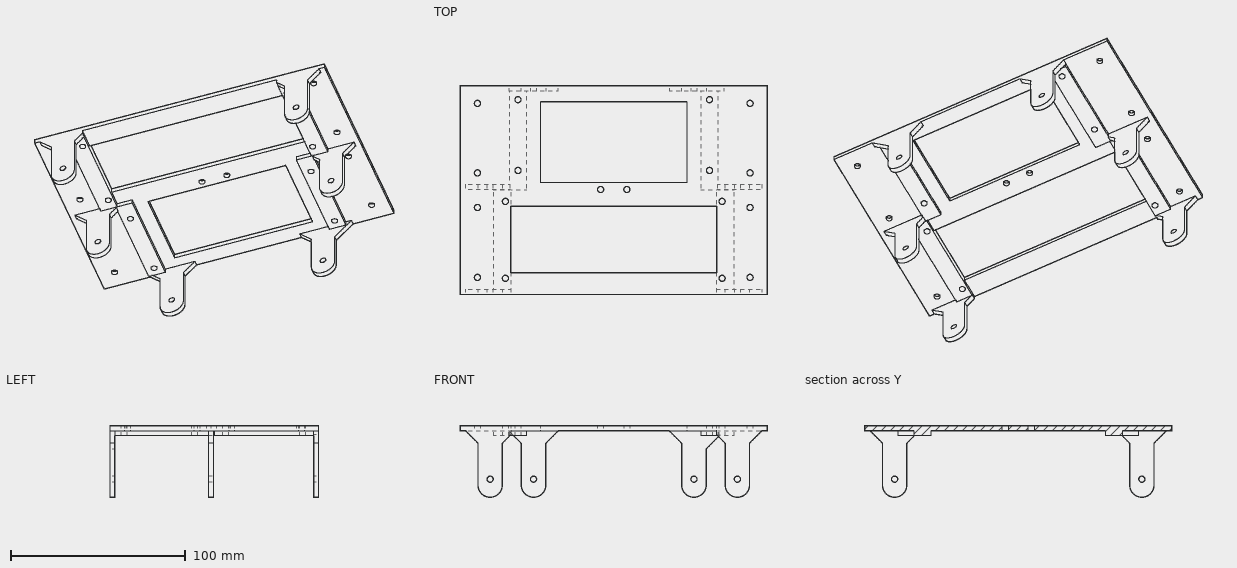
import cadquery as cq

PLATE_LENGTH = 175.8
PLATE_WIDTH = 119.6
PLATE_THICKNESS = 3
PLATE_UNDERSIDE = -PLATE_THICKNESS
FRONT_FACE = -PLATE_WIDTH / 2
REAR_FACE = PLATE_WIDTH / 2

FRONT_WINDOW_LENGTH = 117.8
FRONT_WINDOW_Y = (-47.2, -9.4)
REAR_WINDOW_LENGTH = 83.6
REAR_WINDOW_Y = (4.4, 50.4)

SCREW_HOLE_DIAMETER = 3.4
SCREW_HOLE_ROWS = [
    (78, (-50, -10, 9.8, 49.6)),
    (62, (-50.5, -6.5)),
    (54.8, (11.2, 51.7)),
    (7.5, (0.3,)),
]

LEG_THICKNESS = 3
OUTER_LEG_WIDTH = 14
INNER_LEG_WIDTH = 14.2
LEG_BOTTOM = -41
LEG_FLARE = 7
DEEP_LEG_FLARE = 10.2
LEG_HOLE_DIAMETER = 3.4
LEG_HOLE_Z = -30.6
OUTER_LEG_X = 70.75
MIDDLE_LEG_FRONT = 0.3
INNER_LEG_X = 45.9
OUTER_LEG_INNER_LIMIT = FRONT_WINDOW_LENGTH / 2

RIB_WIDTH = 10
RIB_HEIGHT = 2.7
FRONT_RIB_INNER_X = FRONT_WINDOW_LENGTH / 2
REAR_RIB_INNER_X = 49.8
RIB_STEP_Y = 0


def box(x_range, y_range, z_range):
    """Axis-aligned box between the given limits."""
    (x0, x1), (y0, y1), (z0, z1) = x_range, y_range, z_range
    return cq.Workplane("XY").box(x1 - x0, y1 - y0, z1 - z0, centered=False).translate((x0, y0, z0))


def make_plate():
    """Flat plate with its two windows."""
    plate_z = (PLATE_UNDERSIDE, 0)
    plate = box((-PLATE_LENGTH / 2, PLATE_LENGTH / 2), (FRONT_FACE, REAR_FACE), plate_z)
    for length, y_range in (
        (FRONT_WINDOW_LENGTH, FRONT_WINDOW_Y),
        (REAR_WINDOW_LENGTH, REAR_WINDOW_Y),
    ):
        plate = plate.cut(box((-length / 2, length / 2), y_range, plate_z))
    return plate


def screw_holes():
    """Cylinders for the screw holes, long enough to pass plate and ribs."""
    points = [(side * x, y) for x, y_positions in SCREW_HOLE_ROWS for y in y_positions for side in (-1, 1)]
    depth = PLATE_THICKNESS + RIB_HEIGHT
    return cq.Workplane("XY").pushPoints(points).circle(SCREW_HOLE_DIAMETER / 2).extrude(-depth)


def make_leg(x, front_y, width, left_flare=LEG_FLARE, right_flare=LEG_FLARE):
    """Leg centred on x, from front_y back by the leg thickness."""
    half_width = width / 2
    foot_z = LEG_BOTTOM + half_width
    leg = (
        cq.Workplane("XZ", origin=(x, front_y, 0))
        .moveTo(-half_width - left_flare, PLATE_UNDERSIDE)
        .lineTo(half_width + right_flare, PLATE_UNDERSIDE)
        .lineTo(half_width, PLATE_UNDERSIDE - right_flare)
        .lineTo(half_width, foot_z)
        .threePointArc((0, LEG_BOTTOM), (-half_width, foot_z))
        .lineTo(-half_width, PLATE_UNDERSIDE - left_flare)
        .close()
        .extrude(-LEG_THICKNESS)
    )
    hole = (
        cq.Workplane("XZ", origin=(x, front_y, LEG_HOLE_Z))
        .circle(LEG_HOLE_DIAMETER / 2)
        .extrude(-LEG_THICKNESS)
    )
    return leg.cut(hole)


def make_outer_legs():
    """Front and middle leg pairs, with the flares trimmed at the front window's ends."""
    trim = box(
        (-OUTER_LEG_INNER_LIMIT, OUTER_LEG_INNER_LIMIT),
        (FRONT_FACE, REAR_FACE),
        (LEG_BOTTOM, PLATE_UNDERSIDE),
    )
    legs = cq.Workplane("XY")
    for front_y in (FRONT_FACE, MIDDLE_LEG_FRONT):
        for side in (-1, 1):
            legs = legs.add(make_leg(side * OUTER_LEG_X, front_y, OUTER_LEG_WIDTH).cut(trim))
    return legs.combine()


def make_inner_legs():
    """Rear leg pair; the right one has a deeper flare on its outer side."""
    front_y = REAR_FACE - LEG_THICKNESS
    left_leg = make_leg(-INNER_LEG_X, front_y, INNER_LEG_WIDTH)
    right_leg = make_leg(INNER_LEG_X, front_y, INNER_LEG_WIDTH, right_flare=DEEP_LEG_FLARE)
    return left_leg.add(right_leg).combine()


def make_rib_pair(inner_x, y_range):
    """Two mirrored ribs whose inner faces lie at inner_x from the centre line."""
    rib_z = (PLATE_UNDERSIDE - RIB_HEIGHT, PLATE_UNDERSIDE)
    right_rib = box((inner_x, inner_x + RIB_WIDTH), y_range, rib_z)
    return right_rib.union(right_rib.mirror("YZ"))


front_ribs = make_rib_pair(FRONT_RIB_INNER_X, (FRONT_FACE + LEG_THICKNESS, RIB_STEP_Y))
rear_ribs = make_rib_pair(REAR_RIB_INNER_X, (RIB_STEP_Y, REAR_FACE - LEG_THICKNESS))

result = (
    make_plate()
    .union(front_ribs)
    .union(rear_ribs)
    .union(make_outer_legs())
    .union(make_inner_legs())
    .cut(screw_holes())
)